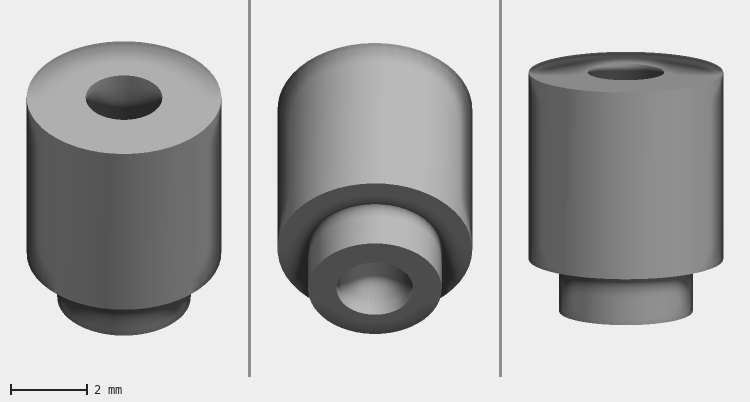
import cadquery as cq

body_diameter = 5.1
body_height = 5.0
spigot_diameter = 3.5
spigot_height = 1.4
bore_diameter = 2.01


def make_body():
    """Main cylinder, standing on the shoulder plane Z = 0."""
    return cq.Workplane("XY").circle(body_diameter / 2).extrude(body_height)


def add_spigot(part):
    """Narrower locating spigot hanging below the shoulder."""
    spigot = cq.Workplane("XY").circle(spigot_diameter / 2).extrude(-spigot_height)
    return part.union(spigot)


def cut_bore(part):
    """Plain bore through the full length."""
    return part.faces(">Z").workplane().hole(bore_diameter)


result = cut_bore(add_spigot(make_body()))